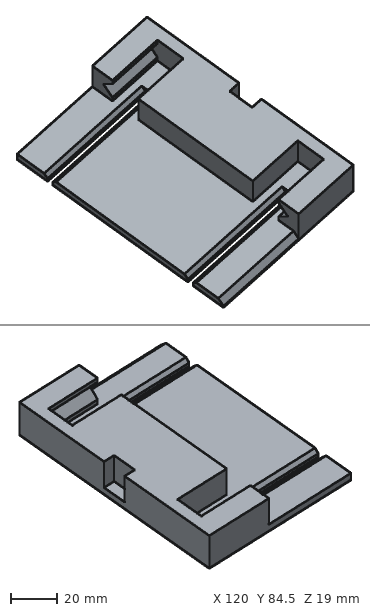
import cadquery as cq

width = 120.0
depth = 84.45
height = 19.0

plate_thickness = 4.0
block_depth = 35.55

pocket_width = 15.0
pocket_offset = 40.8
back_wall = 6.3

groove_depth = 5.2
groove_half_height = 5.0

slot_width = 3.0
slot_flare = 2.0
slot_end = 21.0

notch_width = 13.0
notch_depth = 6.0

edge_bevel = 3.0

block_front = depth - block_depth
pocket_back = depth - back_wall
pocket_length = pocket_back - block_front
block_height = height - plate_thickness
groove_middle = plate_thickness + block_height / 2


def box(x_middle, y_start, z_start, size_x, size_y, size_z):
    """Box centred on x_middle, rising from y_start and z_start."""
    corner = (x_middle - size_x / 2, y_start, z_start)
    return cq.Workplane("XY").box(size_x, size_y, size_z, centered=False).translate(corner)


def prism(profile, y_start, y_end):
    """Closed XZ profile extruded along Y from y_start to y_end."""
    sketch = cq.Workplane("XZ", origin=(0, y_start, 0)).polyline(profile).close()
    return sketch.extrude(y_start - y_end)


def body():
    plate = box(0, 0, 0, width, depth, plate_thickness)
    block = box(0, block_front, plate_thickness, width, block_depth, block_height)
    return plate.union(block)


def pocket(side):
    """Pocket with its V-groove; side is -1 for left and 1 for right."""
    recess = box(side * pocket_offset, block_front, plate_thickness, pocket_width, pocket_length, block_height)
    wall = side * (pocket_offset + pocket_width / 2)
    groove = prism(
        [
            (wall, groove_middle - groove_half_height),
            (wall + side * groove_depth, groove_middle),
            (wall, groove_middle + groove_half_height),
        ],
        block_front,
        pocket_back,
    )
    return recess.union(groove)


def slot(side):
    """Slot open at the front edge, flared where it meets the top of the plate."""
    middle = side * pocket_offset
    bottom_half = slot_width / 2
    top_half = bottom_half + slot_flare
    flare_start = plate_thickness - slot_flare
    return prism(
        [
            (middle - bottom_half, 0),
            (middle + bottom_half, 0),
            (middle + bottom_half, flare_start),
            (middle + top_half, plate_thickness),
            (middle - top_half, plate_thickness),
            (middle - bottom_half, flare_start),
        ],
        0,
        depth - slot_end,
    )


def back_notch():
    """Notch in the back of the block, reaching down to the plate."""
    return box(0, depth - notch_depth, plate_thickness, notch_width, notch_depth, block_height)


def right_edge_bevel():
    edge = width / 2
    return prism(
        [
            (edge - edge_bevel, plate_thickness),
            (edge, plate_thickness),
            (edge, plate_thickness - edge_bevel),
        ],
        0,
        block_front,
    )


result = body()
for side in (-1, 1):
    result = result.cut(pocket(side)).cut(slot(side))
result = result.cut(back_notch()).cut(right_edge_bevel())